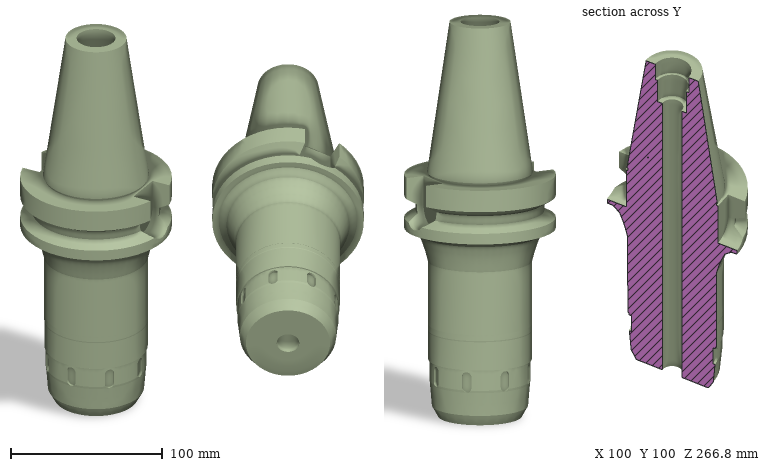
import cadquery as cq
import math

total_height = 266.8

taper_ratio = 7 / 24
gauge_radius = 35.0
gauge_z = 165.5
top_radius = gauge_radius - (total_height - gauge_z) * taper_ratio / 2
neck_radius = 34.2

flange_diameter = 100.0
flange_radius = flange_diameter / 2
flange_top = 163.8
flange_bottom = 127.5
upper_rim_bottom = 149.5
lower_rim_top = 134.7
groove_radius = 42.5
groove_half_angle = math.radians(30)
groove_side_height = (flange_radius - groove_radius) * math.tan(groove_half_angle)

cone_radius = 45.5
flare_top_radius = 40.5
flare_top = 123.5
flare_bottom = 105.0
flare_arc_radius = 93.5

body_radius = 34.5
body_bottom = 62.5
relief_step = 0.13
relief_radius = body_radius - relief_step
relief_bottom = 58.5
nut_top = 57.5
nut_step = 0.13
nut_radius = relief_radius - nut_step
nut_bottom = 38.5

ring_radius = 33.4
ring_bottom = 24.5
skirt_top_radius = 33.0
skirt_top = 23.0
skirt_bottom_radius = 31.7
skirt_bottom = 7.2
nose_radius = 27.7

slot_count = 8
slot_width = 6.5
slot_top = 36.8
slot_bottom = 23.2
slot_floor_radius = 31.5

key_width = 25.5
key_floor = 35.5
key_bottom = 131.3

mouth_radius = 12.8
mouth_depth = 13.3
pilot_radius = 11.0
pilot_depth = 32.0
through_radius = 7.5


def turned_body():
    """Revolve the outer half profile about Z."""
    profile = (
        cq.Workplane("XZ")
        .moveTo(0, total_height)
        .lineTo(top_radius, total_height)
        .lineTo(gauge_radius, gauge_z)
        .lineTo(neck_radius, gauge_z)
        .lineTo(neck_radius, flange_top)
        .lineTo(flange_radius, flange_top)
        .lineTo(flange_radius, upper_rim_bottom)
        .lineTo(groove_radius, upper_rim_bottom - groove_side_height)
        .lineTo(groove_radius, lower_rim_top + groove_side_height)
        .lineTo(flange_radius, lower_rim_top)
        .lineTo(flange_radius, flange_bottom)
        .lineTo(cone_radius, flange_bottom)
        .lineTo(flare_top_radius, flare_top)
        .radiusArc((body_radius, flare_bottom), -flare_arc_radius)
        .lineTo(body_radius, body_bottom)
        .lineTo(relief_radius, body_bottom)
        .lineTo(relief_radius, relief_bottom)
        .lineTo(nut_radius, nut_top)
        .lineTo(nut_radius, nut_bottom)
        .lineTo(ring_radius, nut_bottom)
        .lineTo(ring_radius, ring_bottom)
        .lineTo(skirt_top_radius, skirt_top)
        .lineTo(skirt_bottom_radius, skirt_bottom)
        .lineTo(nose_radius, 0)
        .lineTo(0, 0)
        .close()
    )
    return profile.revolve(360, (0, 0, 0), (0, 1, 0))


def axial_hole(radius, depth):
    """A cylinder reaching down from the top face."""
    return cq.Workplane("XY", origin=(0, 0, total_height)).circle(radius).extrude(-depth)


def key_slot():
    """A round-bottomed slot cutter on the +X side, open at the flange top."""
    half_width = key_width / 2
    arc_center_z = key_bottom + half_width
    return (
        cq.Workplane("YZ", origin=(key_floor, 0, 0))
        .moveTo(-half_width, flange_top)
        .lineTo(-half_width, arc_center_z)
        .threePointArc((0, key_bottom), (half_width, arc_center_z))
        .lineTo(half_width, flange_top)
        .close()
        .extrude(flange_radius - key_floor)
    )


def wrench_slot():
    """A flat-floored, round-ended slot cutter on the +X side of the nose ring."""
    return (
        cq.Workplane("YZ", origin=(slot_floor_radius, 0, (slot_top + slot_bottom) / 2))
        .slot2D(slot_top - slot_bottom, slot_width, 90)
        .extrude(nut_radius - slot_floor_radius)
    )


result = turned_body()

result = result.cut(axial_hole(mouth_radius, mouth_depth))
result = result.cut(axial_hole(pilot_radius, pilot_depth))
result = result.cut(axial_hole(through_radius, total_height))

for angle in (0, 180):
    result = result.cut(key_slot().rotate((0, 0, 0), (0, 0, 1), angle))

for index in range(slot_count):
    angle = index * 360 / slot_count
    result = result.cut(wrench_slot().rotate((0, 0, 0), (0, 0, 1), angle))